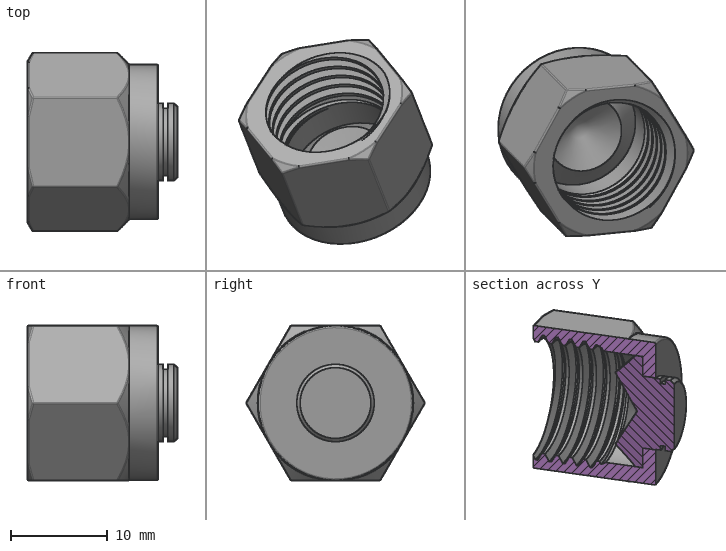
import cadquery as cq
import math

across_flats = 16.0
hex_length = 10.5
collar_length = 3.0
nut_length = hex_length + collar_length
collar_radius = across_flats / 2
corner_radius = across_flats / math.sqrt(3)
hex_edge_round = 0.18
collar_edge_round = 0.2

front_trim_radius = 8.3
front_trim_angle = 30.0
back_trim_angle = 45.0

thread_diameter = 14.0
pitch = 1.5
flank_angle = 30.0
major_radius = thread_diameter / 2
thread_depth = 5 / 8 * pitch * math.sqrt(3) / 2
minor_radius = major_radius - thread_depth
root_flat = pitch / 8
cutter_overlap = 0.1
thread_end = 8.0
thread_end_angle = 30.0

bore_depth = 12.0

shank_radius = 4.0
plug_end = 15.5
flange_radius = minor_radius
rim_x = 9.0
rim_radius = 4.0
cone_half_angle = 45.0
recess_half_angle = 59.0
snap_groove_start = 14.0
snap_groove_width = 0.5
snap_groove_radius = 3.5
end_chamfer_length = 0.4
end_chamfer_depth = 0.35


def revolve_about_x(outline):
    return outline.close().revolve(360, (0, 0, 0), (1, 0, 0))


def make_hexagon():
    hexagon = cq.Workplane("YZ").polygon(6, 2 * corner_radius).extrude(hex_length)
    front_rise = (corner_radius - front_trim_radius) * math.tan(math.radians(front_trim_angle))
    back_rise = (corner_radius - collar_radius) / math.tan(math.radians(back_trim_angle))
    envelope = revolve_about_x(
        cq.Workplane("XY")
        .moveTo(0, 0)
        .lineTo(0, front_trim_radius)
        .lineTo(front_rise, corner_radius)
        .lineTo(hex_length - back_rise, corner_radius)
        .lineTo(hex_length, collar_radius)
        .lineTo(hex_length, 0)
    )
    return hexagon.intersect(envelope).edges().fillet(hex_edge_round)


def make_thread_cutter():
    inner = minor_radius - cutter_overlap
    outer = major_radius + cutter_overlap
    half_root = root_flat / 2
    half_mouth = half_root + (major_radius - inner) * math.tan(math.radians(flank_angle))
    start = -pitch
    path = cq.Wire.makeHelix(pitch, thread_end + pitch - start, minor_radius)
    cutter = (
        cq.Workplane("XZ")
        .moveTo(inner, -half_mouth)
        .lineTo(major_radius, -half_root)
        .lineTo(major_radius, half_root)
        .lineTo(inner, half_mouth)
        .close()
        .sweep(cq.Workplane(obj=path), isFrenet=True)
        .rotate((0, 0, 0), (0, 0, 1), -90)
        .rotate((0, 0, 0), (0, 1, 0), 90)
        .translate((start, 0, 0))
    )
    end_slope = math.tan(math.radians(thread_end_angle))
    limit_start = 2 * start - pitch
    limit_end = thread_end + cutter_overlap / end_slope
    limit = revolve_about_x(
        cq.Workplane("XY")
        .moveTo(limit_start, 0)
        .lineTo(limit_start, outer)
        .lineTo(thread_end - (outer - minor_radius) / end_slope, outer)
        .lineTo(limit_end, inner)
        .lineTo(limit_end, 0)
    )
    return cutter.intersect(limit)


def make_nut():
    collar = (
        cq.Workplane("YZ", origin=(hex_length, 0, 0))
        .circle(collar_radius)
        .extrude(collar_length)
        .faces(">X")
        .edges()
        .fillet(collar_edge_round)
    )
    bore = cq.Workplane("YZ").circle(minor_radius).extrude(bore_depth)
    shank_hole = cq.Workplane("YZ").circle(shank_radius).extrude(nut_length)
    nut_body = make_hexagon().union(collar)
    return nut_body.cut(bore).cut(shank_hole).cut(make_thread_cutter())


def make_plug():
    groove_end = snap_groove_start + snap_groove_width
    recess_depth = rim_radius / math.tan(math.radians(recess_half_angle))
    cone_end = rim_x + (flange_radius - rim_radius) / math.tan(math.radians(cone_half_angle))
    return revolve_about_x(
        cq.Workplane("XY")
        .moveTo(rim_x + recess_depth, 0)
        .lineTo(rim_x, rim_radius)
        .lineTo(cone_end, flange_radius)
        .lineTo(bore_depth, flange_radius)
        .lineTo(bore_depth, shank_radius)
        .lineTo(snap_groove_start, shank_radius)
        .lineTo(snap_groove_start, snap_groove_radius)
        .lineTo(groove_end, snap_groove_radius)
        .lineTo(groove_end, shank_radius)
        .lineTo(plug_end - end_chamfer_length, shank_radius)
        .lineTo(plug_end, shank_radius - end_chamfer_depth)
        .lineTo(plug_end, 0)
    )


nut = make_nut()
plug = make_plug()
result = cq.Compound.makeCompound([nut.val(), plug.val()])